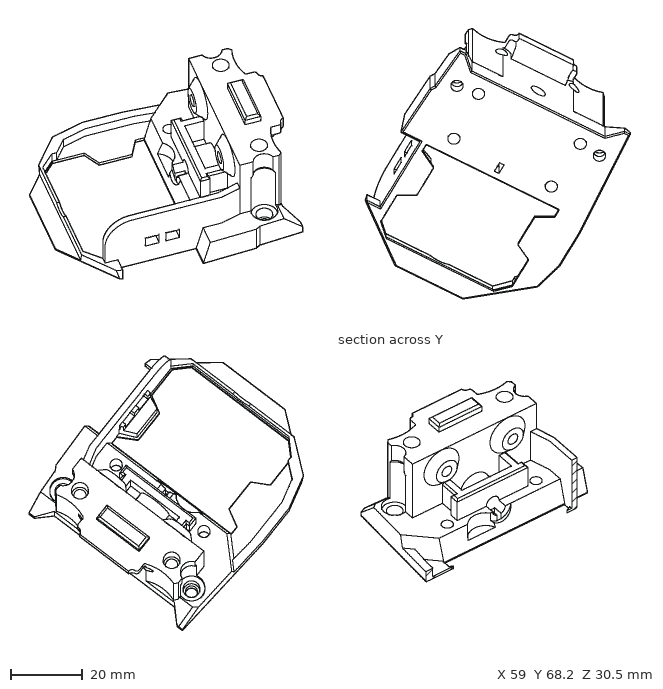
import cadquery as cq
import math

base_top = 1.0
base_chamfer = 0.4
rim_top = 4.0
plate_top = 8.2
body_top = 28.0

back_y = 16.75
ear_corner_x = 27.1
ear_tip_x = 25.2
notch_x = 21.2
notch_y = 12.8
side_x = 29.6
side_back_y = -16.8
side_front_y = -28.6
lip_y = -50.72
rim_corner = (27.05, -38.4)
rim_front = (18.2, -45.55)
rim_end = (27.5, -36.6)
front_run = (rim_corner[0] - rim_front[0], rim_corner[1] - rim_front[1])
lip_x = rim_front[0] - (rim_front[1] - lip_y) * front_run[0] / front_run[1]
undercut_slope = 0.17

plate_edge_y = -11.4
plate_front_slope = 0.27
plate_foot_y = -13.3
plate_edge_right = [(29.36, plate_foot_y), (28.75, 2.4), (27.95, 3.8)]
opening_x = 20.95
tab_x = 16.06
far = 100.0

body_x = 21.65
body_back_y = 12.5
scallop_inner_x = 11.25
bore_z = 8.3
bore_diameter = 4.4

wall_inner_x = 21.37
wall_outer_x = 23.3
wall_top = 18.7
wall_front_y = -40.4
wall_corner_radius = 8.0

cone_x = 11.52
cone_z = 21.8
cone_length = 2.5
cone_base_diameter = 12.2
cone_tip_diameter = 7.3

bracket_front_y = -8.4
bracket_back_y = -5.7
bracket_top = 15.6
bracket_chamfer = 0.6

window_ranges = [(-22.4, -18.4), (-28.5, -24.4)]
window_bottom = 6.7
window_top = 9.85
frame_x = 20.25
frame_top = 10.25

screw_diameter = 3.4
insert_diameter = 4.7


def prism(points, bottom, top):
    """Vertical prism over a plan outline."""
    return cq.Workplane("XY").workplane(offset=bottom).polyline(points).close().extrude(top - bottom)


def block(x_range, y_range, z_range):
    """Box given by its limits along each axis."""
    size = [limits[1] - limits[0] for limits in (x_range, y_range, z_range)]
    return cq.Workplane("XY").box(*size, centered=False).translate((x_range[0], y_range[0], z_range[0]))


def beyond_plane(point, normal):
    """Large box filling the side of a plane that its normal points to."""
    return cq.Workplane(cq.Plane(origin=point, normal=normal)).rect(2 * far, 2 * far).extrude(far)


def upright_cylinder(x, y, diameter, bottom, top):
    return cq.Workplane("XY").workplane(offset=bottom).center(x, y).circle(diameter / 2).extrude(top - bottom)


def cylinder_along_y(x, z, diameter, front, back):
    plane = cq.Plane(origin=(x, back, z), xDir=(1, 0, 0), normal=(0, -1, 0))
    return cq.Workplane(plane).circle(diameter / 2).extrude(back - front)


def left_side(y):
    """Point on the straight left side behind its rearmost bend."""
    run = (back_y - y) / (back_y - side_back_y)
    return (-ear_corner_x - run * (side_x - ear_corner_x), y)


def cut_front_corners(body):
    """Undercut the oblique front corners, which lean outward going up."""
    length = math.hypot(*front_run)
    for side in (-1, 1):
        normal = (side * front_run[1] / length, -front_run[0] / length, -undercut_slope)
        body = body.cut(beyond_plane((side * rim_front[0], rim_front[1], rim_top), normal))
    return body


def make_base():
    """Thin sheet with the lip, chamfered all round its lower edge."""
    outline = [
        (-ear_corner_x, back_y),
        (-side_x, side_back_y),
        (-side_x, side_front_y),
        (-rim_corner[0], rim_corner[1]),
        (-lip_x, lip_y),
        (lip_x, lip_y),
        rim_corner,
        rim_end,
        (wall_outer_x, rim_end[1]),
        (wall_outer_x, plate_foot_y),
        *plate_edge_right,
        (ear_corner_x, back_y),
        (ear_tip_x, back_y),
        (notch_x, notch_y),
        (-notch_x, notch_y),
        (-ear_tip_x, back_y),
    ]
    sheet = cut_front_corners(prism(outline, 0, base_top))
    return sheet.faces("<Z").edges().chamfer(base_chamfer).cut(make_opening())


def make_opening():
    """Central opening, with a tab reaching in from each side."""
    tab_ends_y = (-18.7, -28.4)
    tab_roots_y = (-16.0, -31.1)
    wall_tab_y = -15.7
    corner_y = -40.5
    front = (17.1, -44.3)
    half = [
        (tab_x, tab_ends_y[0]),
        (tab_x, tab_ends_y[1]),
        (opening_x, tab_roots_y[1]),
        (opening_x, corner_y),
        front,
    ]
    right_back = [(wall_inner_x, plate_foot_y), (wall_inner_x, wall_tab_y)]
    left_back = [(-opening_x, tab_roots_y[0]), (-opening_x, plate_foot_y)]
    mirrored = [(-x, y) for x, y in reversed(half)]
    return prism(right_back + half + mirrored + left_back, 0, base_top)


def make_rim():
    """Raised rim along the left side and the front, with undercut front corners."""
    rim_back_y = -3.0
    pocket_back_y = -5.0
    outer = [
        left_side(rim_back_y),
        (-side_x, side_back_y),
        (-side_x, side_front_y),
        (-rim_corner[0], rim_corner[1]),
        (-rim_front[0], rim_front[1]),
        rim_front,
        rim_corner,
        rim_end,
        (wall_inner_x, rim_end[1]),
        (wall_inner_x, rim_back_y),
    ]
    pocket_x = 27.0
    inner_corner_x = 21.0
    inner_front = (17.0, -44.72)
    inner = [
        (-26.0, pocket_back_y),
        (-pocket_x, -14.3),
        (-pocket_x, -28.7),
        (-25.1, -35.8),
        (-inner_corner_x, -39.2),
        (-inner_corner_x, -40.65),
        (-inner_front[0], inner_front[1]),
        inner_front,
        (wall_inner_x, wall_front_y),
        (wall_inner_x, pocket_back_y),
    ]
    return cut_front_corners(prism(outer, base_top, rim_top)).cut(prism(inner, base_top, rim_top))


def make_plate():
    """Thick rear plate with sloping back, front and front-left faces."""
    front_y = plate_edge_y - plate_front_slope * plate_top
    outline = [
        (-ear_corner_x, back_y),
        left_side(plate_foot_y),
        (-opening_x, front_y),
        (plate_edge_right[0][0], front_y),
        *plate_edge_right,
        (ear_corner_x, back_y),
        (ear_tip_x, back_y),
        (notch_x, notch_y),
        (-notch_x, notch_y),
        (-ear_tip_x, back_y),
    ]
    plate = prism(outline, base_chamfer, plate_top)
    back_wall_top = 2.5
    plate = plate.cut(beyond_plane((0, back_y, back_wall_top), (0, 1, 1)))
    plate = plate.cut(beyond_plane((0, plate_edge_y, plate_top), (0, -1, plate_front_slope)))
    oblique_normal = (-1, -1, 0.25)
    plate = plate.cut(beyond_plane((-opening_x, plate_edge_y, plate_top), oblique_normal))
    chamfer_x = 26.3
    chamfer_y = back_y - (plate_top - back_wall_top)
    chamfer_normal = (-1, 1.29, 1.21)
    return plate.cut(beyond_plane((-chamfer_x, chamfer_y, plate_top), chamfer_normal))


def make_body():
    """Upright rear block with scalloped back, rear overhang and top key."""
    corner = 0.9
    scallop_y = 11.83
    scallop_mid_x = 16.0
    profile = (
        cq.Workplane("XY")
        .workplane(offset=base_top)
        .moveTo(-body_x, 0)
        .lineTo(body_x, 0)
        .lineTo(body_x, body_back_y - corner)
        .lineTo(body_x - corner, body_back_y)
        .threePointArc((scallop_mid_x, scallop_y), (scallop_inner_x, notch_y))
        .lineTo(-scallop_inner_x, notch_y)
        .threePointArc((-scallop_mid_x, scallop_y), (-body_x + corner, body_back_y))
        .lineTo(-body_x, body_back_y - corner)
        .close()
    )
    body = profile.extrude(body_top - base_top)
    return body.union(make_overhang()).union(make_key())


def make_overhang():
    """Rear overhang with stepped corners, coved sides and a 45 degree underside."""
    overhang_y = 17.45
    tip_x = 8.65
    step_x = 10.75
    root_z = 20.1
    ledge_z = 24.6
    cove = 1.25
    round_over = step_x - tip_x - cove
    fillet = scallop_inner_x - step_x
    step_y = overhang_y - cove - round_over
    half_plan = (
        cq.Workplane("XY")
        .workplane(offset=root_z)
        .moveTo(0, notch_y)
        .lineTo(scallop_inner_x, notch_y)
        .radiusArc((step_x, notch_y + fillet), fillet)
        .lineTo(step_x, step_y)
        .radiusArc((step_x - round_over, step_y + round_over), -round_over)
        .radiusArc((tip_x, overhang_y), cove)
        .lineTo(0, overhang_y)
        .close()
        .extrude(body_top - root_z)
    )
    side_cove = step_x - tip_x
    half_front = (
        cq.Workplane(cq.Plane(origin=(0, far, 0), xDir=(1, 0, 0), normal=(0, -1, 0)))
        .moveTo(0, root_z)
        .lineTo(tip_x, root_z)
        .lineTo(tip_x, ledge_z - side_cove)
        .radiusArc((step_x, ledge_z), side_cove)
        .lineTo(scallop_inner_x, ledge_z)
        .lineTo(scallop_inner_x, body_top)
        .lineTo(0, body_top)
        .close()
        .extrude(far)
    )
    half = half_plan.intersect(half_front).cut(beyond_plane((0, notch_y, root_z), (0, 1, -1)))
    return half.union(half.mirror("YZ"))


def make_key():
    """Chamfered rectangular key on top of the body."""
    key_top = 30.45
    key_half_length = 7.5
    key_chamfer = 0.7
    key = block((-key_half_length, key_half_length), (6.5, 11.2), (body_top, key_top))
    return key.faces(">Z").chamfer(key_chamfer)


def make_cone(x):
    """Conical boss on the front face of the body."""
    cone = cq.Solid.makeCone(
        cone_base_diameter / 2,
        cone_tip_diameter / 2,
        cone_length,
        cq.Vector(x, 0, cone_z),
        cq.Vector(0, -1, 0),
    )
    return cq.Workplane("XY").add(cone)


def make_bracket():
    """Front cross plate joined to the body by two ribs, over a round sleeve for the bore."""
    half_width = 12.35
    rib_inner_x = 8.6
    rib_outer_x = 11.2
    wing_back_y = -5.5
    embed_y = 1.0
    sleeve_diameter = 10.0
    right = [
        (half_width, bracket_front_y),
        (half_width, wing_back_y),
        (rib_outer_x, wing_back_y),
        (rib_outer_x, embed_y),
    ]
    left = [(-x, y) for x, y in reversed(right)]
    bracket = prism(right + left, rim_top, bracket_top).faces(">Z").edges().chamfer(bracket_chamfer)
    pocket = block((-rib_inner_x, rib_inner_x), (bracket_back_y, embed_y), (plate_top, bracket_top))
    sleeve = cylinder_along_y(0, bore_z, sleeve_diameter, bracket_back_y, 0)
    return bracket.cut(pocket).union(sleeve)


def make_wall():
    """Right guard wall with a rounded front top corner."""
    inner_bend_y = -6.4
    outer_bend_y = -6.0
    plan = [
        (19.55, 0),
        (wall_inner_x, inner_bend_y),
        (wall_inner_x, wall_front_y),
        (wall_outer_x, wall_front_y),
        (wall_outer_x, outer_bend_y),
        (21.74, 0),
    ]
    corner_offset = wall_corner_radius * (1 - math.sqrt(0.5))
    profile = (
        cq.Workplane("YZ")
        .moveTo(0, 0)
        .lineTo(0, wall_top)
        .lineTo(wall_front_y + wall_corner_radius, wall_top)
        .threePointArc(
            (wall_front_y + corner_offset, wall_top - corner_offset),
            (wall_front_y, wall_top - wall_corner_radius),
        )
        .lineTo(wall_front_y, 0)
        .close()
        .extrude(far)
    )
    return prism(plan, base_top, wall_top).intersect(profile)


def make_window_frame():
    """Ledge on the right tab and the three posts that stand behind it."""
    ledge_top = 5.8
    plan = [
        (16.7, -19.0),
        (16.7, -28.1),
        (wall_inner_x, -30.1),
        (wall_inner_x, -16.9),
    ]
    draft = (
        cq.Workplane("YZ")
        .workplane(offset=frame_x)
        .polyline([(-16.8, base_top), (-17.1, frame_top), (-29.8, frame_top), (-30.2, base_top)])
        .close()
        .extrude(wall_inner_x - frame_x)
    )
    posts = prism(plan, base_top, frame_top).intersect(draft)
    for window in window_ranges:
        posts = posts.cut(block((frame_x, wall_inner_x), window, (window_bottom, frame_top)))
    return prism(plan, base_top, ledge_top).union(posts)


def cut_windows(part):
    for window in window_ranges:
        part = part.cut(block((wall_inner_x, wall_outer_x), window, (window_bottom, window_top)))
    return part


def cut_ear_screws(part):
    """Ear screw holes and the screwdriver channels above them in the sides of the body."""
    screw_x, screw_y = 22.67, 6.9
    seat_z = 6.6
    insert_bottom = 3.0
    shoulder_bottom, shoulder_top = 21.4, 22.5
    head_diameter = 7.5
    driver_diameter = 6.2
    for x in (-screw_x, screw_x):
        shoulder = cq.Solid.makeCone(
            head_diameter / 2,
            driver_diameter / 2,
            shoulder_top - shoulder_bottom,
            cq.Vector(x, screw_y, shoulder_bottom),
        )
        part = part.cut(cq.Workplane("XY").add(shoulder))
        part = part.cut(upright_cylinder(x, screw_y, head_diameter, seat_z, shoulder_bottom))
        part = part.cut(upright_cylinder(x, screw_y, driver_diameter, shoulder_top, body_top))
        part = part.cut(upright_cylinder(x, screw_y, insert_diameter, insert_bottom, seat_z))
        part = part.cut(upright_cylinder(x, screw_y, screw_diameter, 0, insert_bottom))
    return part


def cut_body_screws(part):
    """Upright screw holes in the body, wider at the top."""
    screw_x, screw_y = 16.2, 7.6
    insert_depth = 6.0
    for x in (-screw_x, screw_x):
        part = part.cut(upright_cylinder(x, screw_y, screw_diameter, 0, body_top))
        part = part.cut(upright_cylinder(x, screw_y, insert_diameter, body_top - insert_depth, body_top))
    return part


def cut_plate_screws(part):
    screw_x, screw_y = 15.5, -7.96
    for x in (-screw_x, screw_x):
        part = part.cut(upright_cylinder(x, screw_y, screw_diameter, 0, plate_top))
    return part


def cut_cone_screws(part):
    for x in (-cone_x, cone_x):
        part = part.cut(cylinder_along_y(x, cone_z, screw_diameter, -cone_length, far))
    return part


def cut_bore(part):
    """Bore along Y with its front seat, the slot under it and clearance through the rim."""
    seat_diameter = 8.2
    slot_width = 1.4
    rim_slot_diameter = 10.3
    rim_slot_back_y = -40.0
    part = part.cut(cylinder_along_y(0, bore_z, bore_diameter, plate_foot_y, far))
    part = part.cut(cylinder_along_y(0, bore_z, seat_diameter, rim_slot_back_y, plate_edge_y))
    part = part.cut(block((-slot_width / 2, slot_width / 2), (plate_edge_y, bracket_front_y), (0, bore_z)))
    return part.cut(cylinder_along_y(0, bore_z, rim_slot_diameter, lip_y, rim_slot_back_y))


def cut_finger_pocket(part):
    """Round pocket in the sloping front face of the plate."""
    center_x, center_y = -7.0, -14.6
    diameter = 10.2
    floor_z = 3.5
    return part.cut(upright_cylinder(center_x, center_y, diameter, floor_z, plate_top))


result = make_base().union(make_rim()).union(make_plate()).union(make_body())
result = result.union(make_cone(-cone_x)).union(make_cone(cone_x))
result = result.union(make_bracket()).union(make_wall()).union(make_window_frame())
result = cut_windows(result)
result = cut_ear_screws(result)
result = cut_body_screws(result)
result = cut_plate_screws(result)
result = cut_cone_screws(result)
result = cut_bore(result)
result = cut_finger_pocket(result)